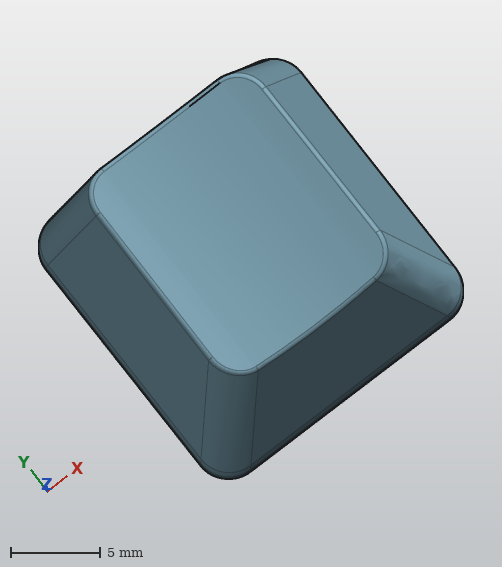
import cadquery as cq
import math

base_size = 18.16
corner_radius = 2.0
skirt_height = 0.73

shoulder_top = 1.3
shoulder_rise = shoulder_top - skirt_height

wall_top = 9.8
side_inset = 3.29
front_inset = 3.45
back_inset = 0.7

dish_radius = 30.87
dish_middle_height = 8.68
dish_tilt = 0.9
dish_length = 3 * base_size
rim_fillet = 0.27


def shoulder_inset(top_inset, rise):
    """Inset of a circular shoulder arc, tangent to the skirt and to the wall, at a rise above the skirt."""
    wall_angle = math.atan(top_inset / (wall_top - skirt_height))
    arc_radius = shoulder_rise / math.sin(wall_angle)
    return arc_radius - math.sqrt(arc_radius**2 - rise**2)


def section(height, side, front, back):
    """Rounded rectangle, inset from the base square by the given amounts."""
    width = base_size - 2 * side
    depth = base_size - front - back
    middle_y = (front - back) / 2
    sketch = cq.Sketch().rect(width, depth).vertices().fillet(corner_radius)
    return sketch.moved(cq.Location(cq.Vector(0, middle_y, height)))


def shoulder_section(rise):
    insets = [shoulder_inset(inset, rise) for inset in (side_inset, front_inset, back_inset)]
    return section(skirt_height + rise, *insets)


skirt = cq.Workplane().placeSketch(section(0, 0, 0, 0)).extrude(skirt_height)
shoulder = (
    cq.Workplane()
    .placeSketch(shoulder_section(0), shoulder_section(shoulder_rise / 2), shoulder_section(shoulder_rise))
    .loft()
)
walls = (
    cq.Workplane()
    .placeSketch(shoulder_section(shoulder_rise), section(wall_top, side_inset, front_inset, back_inset))
    .loft(ruled=True)
)

dish = (
    cq.Workplane("XZ")
    .circle(dish_radius)
    .extrude(dish_length / 2, both=True)
    .rotate((0, 0, 0), (1, 0, 0), dish_tilt)
    .translate((0, 0, dish_middle_height + dish_radius))
)

keycap = skirt.union(shoulder).union(walls).cut(dish)
result = keycap.faces(">Z").edges().fillet(rim_fillet)